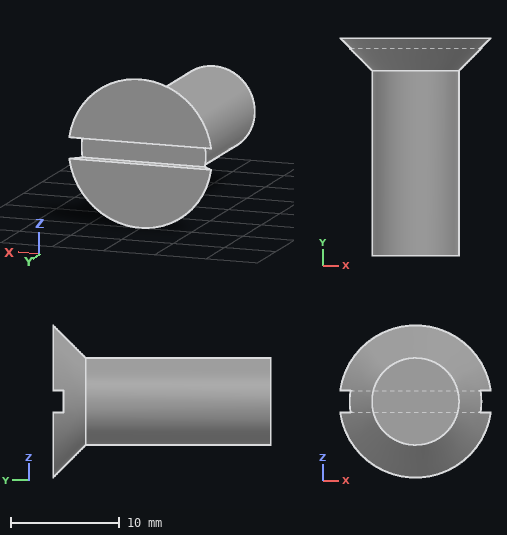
import cadquery as cq

total_length = 20.0
head_diameter = 14.0
shank_diameter = 8.0
slot_width = 2.0
slot_depth = 0.95

head_radius = head_diameter / 2
shank_radius = shank_diameter / 2
head_height = head_radius - shank_radius
shank_length = total_length - head_height


def screw_body():
    """Shank and conical head, revolved about the Y axis."""
    half_profile = [
        (0, 0),
        (shank_radius, 0),
        (shank_radius, shank_length),
        (head_radius, total_length),
        (0, total_length),
    ]
    return cq.Workplane("XY").polyline(half_profile).close().revolve(360, (0, 0, 0), (0, 1, 0))


def driver_slot():
    """Straight slot along X across the flat head face."""
    slot_center_y = total_length - slot_depth / 2
    return cq.Workplane("XY").box(head_diameter, slot_depth, slot_width).translate((0, slot_center_y, 0))


result = screw_body().cut(driver_slot())